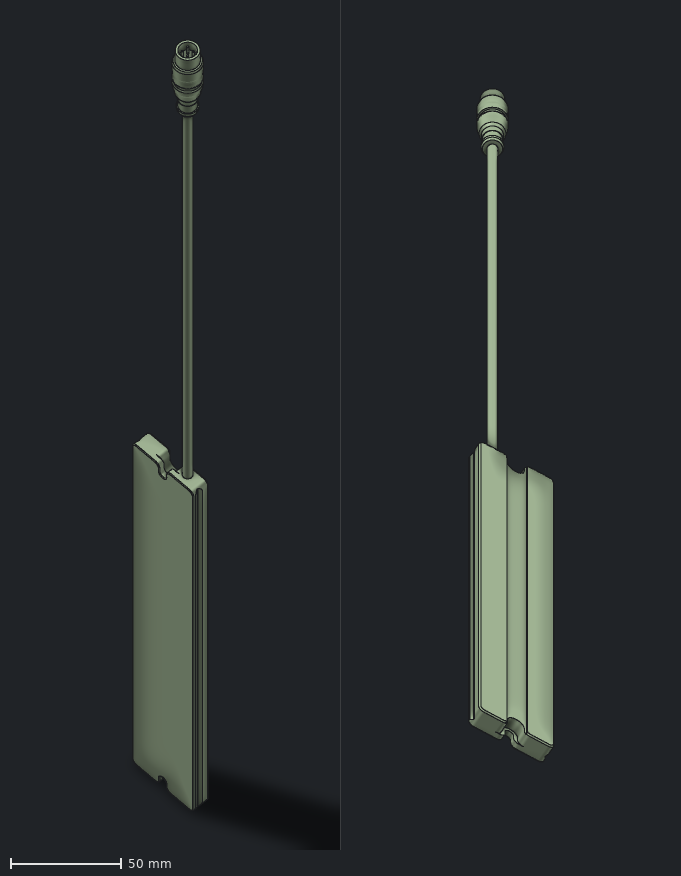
import cadquery as cq
import math

total_length = 581.75
assembly_top = total_length / 2
lead_x = 10.5

housing_width = 40.0
housing_length = 250.0
front_y = -5.7
back_y = 4.3
corner_radius = 3.0
front_chamfer = 0.45
back_chamfer = 0.75
housing_bottom = -assembly_top
housing_top = housing_bottom + housing_length

screw_slot_width = 4.5
head_recess_width = 8.8
ledge_y = -2.5
slot_centre_depth = 5.25
mouth_radius = 3.0

side_groove_centre_y = -2.1
side_groove_mouth_width = 4.2
side_groove_floor_width = 0.7
side_groove_depth = 1.0

back_channel_width = 11.0
back_channel_depth = 1.0

cable_diameter = 5.0
plug_length = 46.0
plug_bottom = assembly_top - plug_length

nose_radius = 5.8
nose_tip_radius = 5.7
shoulder_radius = 6.7
grip_radius = 7.25
shallow_groove_radius = 7.05
deep_groove_radius = 6.6
grip_rear_radius = 7.1
cone_end_radius = 6.1
neck_start_radius = 5.1
neck_end_radius = 4.8
sleeve_radius = 4.6
collar_radius = 5.25

socket_radius = 4.4
socket_depth = 6.0
pin_count = 4
pin_radius = 0.5
pin_circle_radius = 2.5
pin_setback = 1.0
first_pin_angle = 45


def housing_layer(slot_width, layer_front_y, layer_back_y):
    """Rounded bar between two Y levels, with a round-bottomed, flared-mouth slot in each end."""
    slot_radius = slot_width / 2
    slot_centre_z = housing_top - slot_centre_depth
    mouth_half_width = slot_radius + mouth_radius
    flare_z = housing_top - mouth_radius
    flare_mid_x = mouth_half_width - mouth_radius * math.sin(math.pi / 4)
    flare_mid_z = flare_z + mouth_radius * math.cos(math.pi / 4)

    thickness = layer_back_y - layer_front_y
    plane = cq.Workplane("XZ", origin=(0, layer_front_y, 0))
    bar = (
        plane.center(0, housing_bottom + housing_length / 2)
        .rect(housing_width, housing_length)
        .extrude(-thickness)
        .edges("|Y")
        .fillet(corner_radius)
    )
    top_slot = (
        plane.moveTo(-mouth_half_width, housing_top)
        .threePointArc((-flare_mid_x, flare_mid_z), (-slot_radius, flare_z))
        .lineTo(-slot_radius, slot_centre_z)
        .threePointArc((0, slot_centre_z - slot_radius), (slot_radius, slot_centre_z))
        .lineTo(slot_radius, flare_z)
        .threePointArc((flare_mid_x, flare_mid_z), (mouth_half_width, housing_top))
        .close()
        .extrude(-thickness)
    )
    bottom_slot = top_slot.mirror("XY", (0, 0, housing_bottom + housing_length / 2))
    return bar.cut(top_slot).cut(bottom_slot)


def side_groove(side):
    """Cutter for the groove along the +X (side = 1) or -X (side = -1) face."""
    mouth_x = side * housing_width / 2
    floor_x = mouth_x - side * side_groove_depth
    half_mouth = side_groove_mouth_width / 2
    half_floor = side_groove_floor_width / 2
    return (
        cq.Workplane("XY", origin=(0, side_groove_centre_y, housing_bottom))
        .moveTo(mouth_x, half_mouth)
        .lineTo(floor_x, half_floor)
        .lineTo(floor_x, -half_floor)
        .lineTo(mouth_x, -half_mouth)
        .close()
        .extrude(housing_length)
    )


def build_housing():
    """Bar with stepped screw slots, chamfered faces, side grooves and a back channel."""
    front_layer = housing_layer(screw_slot_width, front_y, ledge_y)
    front_layer = front_layer.faces("<Y").edges().chamfer(front_chamfer)
    back_layer = housing_layer(head_recess_width, ledge_y, back_y)
    back_layer = back_layer.faces(">Y").edges().chamfer(back_chamfer)
    bar = front_layer.union(back_layer, clean=True)
    for side in (1, -1):
        bar = bar.cut(side_groove(side))
    channel = (
        cq.Workplane("XY", origin=(0, back_y - back_channel_depth / 2, housing_bottom))
        .rect(back_channel_width, back_channel_depth)
        .extrude(housing_length)
    )
    return bar.cut(channel)


def build_cable():
    """Straight round cable from the housing end to the plug."""
    return (
        cq.Workplane("XY", origin=(lead_x, 0, housing_top))
        .circle(cable_diameter / 2)
        .extrude(plug_bottom - housing_top)
    )


def build_plug():
    """Turned plug with grooved grips, a tapering rear, and contact pins in its tip."""
    profile = [
        (0, 0),
        (nose_tip_radius, 0),
        (nose_radius, 2.8),
        (nose_radius, 7.8),
        (shoulder_radius, 7.8),
        (grip_radius, 9.0),
        (grip_radius, 14.9),
        (shallow_groove_radius, 15.9),
        (shallow_groove_radius, 17.1),
        (grip_radius, 18.2),
        (grip_radius, 20.2),
        (deep_groove_radius, 20.6),
        (deep_groove_radius, 22.9),
        (grip_radius, 23.6),
        (grip_radius, 25.2),
        (grip_rear_radius, 26.8),
        (deep_groove_radius, 28.6),
        (cone_end_radius, 32.0),
        (neck_start_radius, 33.8),
        (neck_end_radius, 37.3),
        (sleeve_radius, 37.3),
        (sleeve_radius, 42.8),
        (collar_radius, 42.8),
        (collar_radius, 44.5),
        (sleeve_radius, plug_length),
        (0, plug_length),
    ]
    body = (
        cq.Workplane("XZ", origin=(lead_x, 0, assembly_top))
        .polyline([(radius, -depth) for radius, depth in profile])
        .close()
        .revolve(360, (0, 0), (0, 1))
    )
    socket_floor = cq.Workplane("XY", origin=(lead_x, 0, assembly_top - socket_depth))
    socket = socket_floor.circle(socket_radius).extrude(socket_depth)
    pins = (
        socket_floor.polarArray(pin_circle_radius, first_pin_angle, 360, pin_count)
        .circle(pin_radius)
        .extrude(socket_depth - pin_setback)
    )
    return body.cut(socket).union(pins)


housing = build_housing()
cable = build_cable()
plug = build_plug()

result = cq.Compound.makeCompound(
    [housing.solids().val(), cable.solids().val(), plug.solids().val()]
)